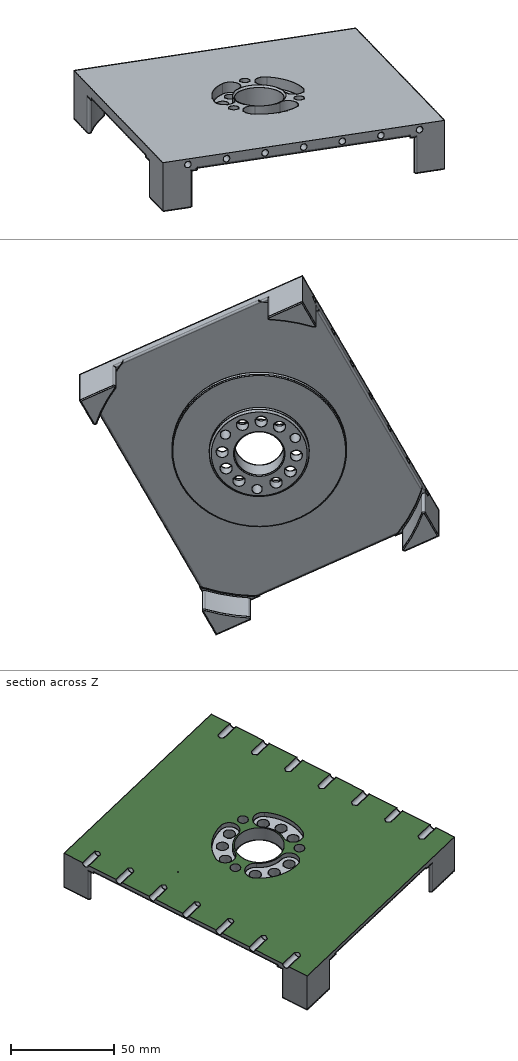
import cadquery as cq
import math

LENGTH_X = 121.0
LENGTH_Y = 146.0
HEIGHT = 26.0

PLATE_THICKNESS = 6.0
PAD_THICKNESS = 7.0
PAD_RADIUS = 81.8
LEG_RADIUS = 82.5
EDGE_FILLET = 1.0
FOOT_CHAMFER = 0.55

FLANGE_RADIUS = 42.3
FLANGE_CHAMFER = 0.5
FLANGE_BOTTOM = 8.5
BOSS_RADIUS = 24.2
BOSS_BOTTOM = 11.4
BOSS_CHAMFER = 1.0

BORE_RADIUS = 12.0
BORE_TOP_CHAMFER = 1.0
BORE_BOTTOM_CHAMFER = 0.5

SCREW_CIRCLE_RADIUS = 18.0
SCREW_HOLE_DIAMETER = 5.8
POCKET_HALF_WIDTH = SCREW_CIRCLE_RADIUS - BORE_RADIUS - BORE_TOP_CHAMFER
POCKET_DEPTH = 5.5
POCKET_COUNT = 3
SCREW_STEP = 30.0
PIN_CIRCLE_RADIUS = 19.5
PIN_HOLE_DIAMETER = 5.0

SIDE_HOLE_COUNT = 7
SIDE_HOLE_PITCH = 20.0
SIDE_HOLE_DIAMETER = 3.4
SIDE_HOLE_DEPTH = 10.0
SIDE_HOLE_Z = -2.9
DRILL_TIP_ANGLE = 118.0


def slab(depth):
    """Rectangular block of the full outline, from the top face down to a depth."""
    return cq.Workplane("XY").rect(LENGTH_X, LENGTH_Y).extrude(-depth)


def disc(radius, depth):
    """Round block on the centre line, from the top face down to a depth."""
    return cq.Workplane("XY").circle(radius).extrude(-depth)


def polar(radius, degrees):
    """Point at a radius and an angle in degrees, counted from +X."""
    angle = math.radians(degrees)
    return radius * math.cos(angle), radius * math.sin(angle)


def make_plate():
    return slab(PLATE_THICKNESS).faces("<Z").edges().fillet(EDGE_FILLET)


def make_pads():
    pads = slab(PAD_THICKNESS).faces("<Z").edges().fillet(EDGE_FILLET)
    return pads.cut(disc(PAD_RADIUS, PAD_THICKNESS))


def make_legs():
    legs = slab(HEIGHT).cut(disc(LEG_RADIUS, HEIGHT))
    inner_edges = legs.edges("|Z").edges("not ((<X or >X) and (<Y or >Y))")
    legs = inner_edges.fillet(EDGE_FILLET)
    return legs.faces("<Z").edges().chamfer(FOOT_CHAMFER)


def make_hub():
    boss = disc(BOSS_RADIUS, BOSS_BOTTOM).faces("<Z").edges().chamfer(BOSS_CHAMFER)
    flange = disc(FLANGE_RADIUS, FLANGE_BOTTOM).faces("<Z").edges().chamfer(FLANGE_CHAMFER)
    return flange.union(boss)


def make_bore():
    """Bore with a chamfer at both mouths."""
    profile = [
        (0, 0),
        (BORE_RADIUS + BORE_TOP_CHAMFER, 0),
        (BORE_RADIUS, -BORE_TOP_CHAMFER),
        (BORE_RADIUS, BORE_BOTTOM_CHAMFER - BOSS_BOTTOM),
        (BORE_RADIUS + BORE_BOTTOM_CHAMFER, -BOSS_BOTTOM),
        (0, -BOSS_BOTTOM),
    ]
    return cq.Workplane("XZ").polyline(profile).close().revolve(360, (0, 0), (0, 1))


def make_pocket(direction):
    """Arc slot that spans three screw holes, centred on a direction in degrees."""
    start = direction - SCREW_STEP
    end = direction + SCREW_STEP
    inner = SCREW_CIRCLE_RADIUS - POCKET_HALF_WIDTH
    outer = SCREW_CIRCLE_RADIUS + POCKET_HALF_WIDTH
    band = (
        cq.Workplane("XY")
        .moveTo(*polar(outer, start))
        .threePointArc(polar(outer, direction), polar(outer, end))
        .lineTo(*polar(inner, end))
        .threePointArc(polar(inner, direction), polar(inner, start))
        .close()
        .extrude(-POCKET_DEPTH)
    )
    ends = (
        cq.Workplane("XY")
        .pushPoints([polar(SCREW_CIRCLE_RADIUS, start), polar(SCREW_CIRCLE_RADIUS, end)])
        .circle(POCKET_HALF_WIDTH)
        .extrude(-POCKET_DEPTH)
    )
    return band.union(ends)


def make_through_holes(radius, angles, diameter):
    points = [polar(radius, angle) for angle in angles]
    return cq.Workplane("XY").pushPoints(points).circle(diameter / 2).extrude(-BOSS_BOTTOM)


def make_side_hole(side, y):
    """Blind drilled hole with a conical end; side is -1 for the -X face and +1 for +X."""
    radius = SIDE_HOLE_DIAMETER / 2
    tip = radius / math.tan(math.radians(DRILL_TIP_ANGLE / 2))
    start = cq.Vector(side * LENGTH_X / 2, y, SIDE_HOLE_Z)
    inward = cq.Vector(-side, 0, 0)
    shank = cq.Solid.makeCylinder(radius, SIDE_HOLE_DEPTH, start, inward)
    cone = cq.Solid.makeCone(radius, 0, tip, start + inward * SIDE_HOLE_DEPTH, inward)
    return shank.fuse(cone)


result = make_plate().union(make_pads()).union(make_legs()).union(make_hub())
result = result.cut(make_bore())

for index in range(POCKET_COUNT):
    pocket_direction = index * 360 / POCKET_COUNT
    screw_angles = [pocket_direction + step * SCREW_STEP for step in (-1, 0, 1)]
    pin_angle = pocket_direction + 180 / POCKET_COUNT
    result = result.cut(make_pocket(pocket_direction))
    result = result.cut(make_through_holes(SCREW_CIRCLE_RADIUS, screw_angles, SCREW_HOLE_DIAMETER))
    result = result.cut(make_through_holes(PIN_CIRCLE_RADIUS, [pin_angle], PIN_HOLE_DIAMETER))

for index in range(SIDE_HOLE_COUNT):
    hole_y = (index - (SIDE_HOLE_COUNT - 1) / 2) * SIDE_HOLE_PITCH
    for side in (-1, 1):
        result = result.cut(make_side_hole(side, hole_y))